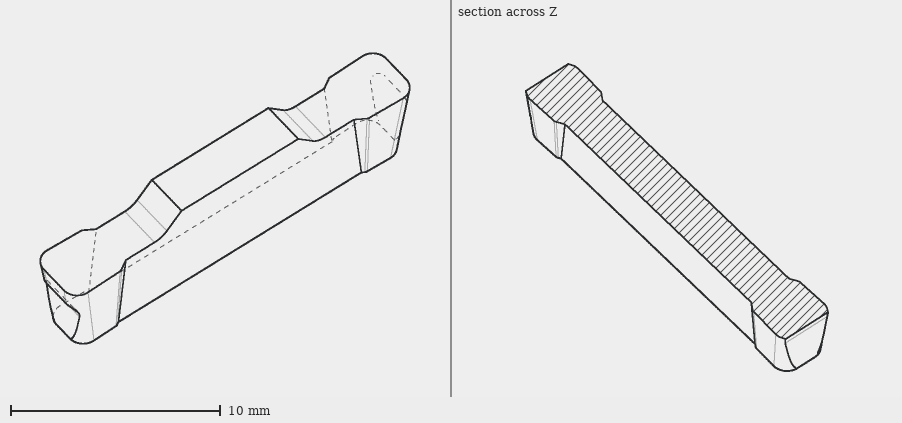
import cadquery as cq
import math

LENGTH = 20.6
HEAD_WIDTH = 3.18
HEIGHT = 5.76
SHOULDER_HEIGHT = 4.57

BLADE_WIDTH = 2.33
RIDGE_TOP_LENGTH = 7.02
RIDGE_SLOPE = 45.0
RIDGE_FOOT_RADIUS = 1.05

CORNER_RADIUS = 0.8
NECK_START = 2.865
NECK_ANGLE = 32.0
NECK_BASE_START = 2.805
NECK_RADIUS = 0.25
BACK_TAPER = 1.8
HEAD_ROOT_WIDTH = 1.6

FRONT_RELIEF = 7.0
SIDE_RELIEF = 3.07

RELIEF_SETBACK = 0.55
RELIEF_FLAT_DEPTH = 2.02
RELIEF_RADIUS = 1.05

TIP = LENGTH / 2

SELECTION_MARGIN = 0.1


def tangent(angle):
    return math.tan(math.radians(angle))


def make_blade():
    """Side outline extruded across the blade width."""
    ridge_half = RIDGE_TOP_LENGTH / 2
    foot = ridge_half + (HEIGHT - SHOULDER_HEIGHT) / tangent(RIDGE_SLOPE)
    end = TIP - NECK_START
    outline = [
        (-end, 0),
        (end, 0),
        (end, SHOULDER_HEIGHT),
        (foot, SHOULDER_HEIGHT),
        (ridge_half, HEIGHT),
        (-ridge_half, HEIGHT),
        (-foot, SHOULDER_HEIGHT),
        (-end, SHOULDER_HEIGHT),
    ]
    blade = cq.Workplane("YZ").polyline(outline).close().extrude(BLADE_WIDTH / 2, both=True)
    feet = cq.selectors.BoxSelector(
        (-BLADE_WIDTH, -foot - SELECTION_MARGIN, SHOULDER_HEIGHT - SELECTION_MARGIN),
        (BLADE_WIDTH, foot + SELECTION_MARGIN, SHOULDER_HEIGHT + SELECTION_MARGIN),
    )
    return blade.edges(feet).fillet(RIDGE_FOOT_RADIUS)


def head_outline(depth):
    """Sharp-cornered plan of the -Y head at a depth below its top face."""
    taper = tangent(BACK_TAPER)
    neck = tangent(NECK_ANGLE)
    side_inset = depth * tangent(SIDE_RELIEF)
    front = depth * tangent(FRONT_RELIEF)
    top_front_half = HEAD_WIDTH / 2 + CORNER_RADIUS * taper
    neck_shift = NECK_START - NECK_BASE_START
    neck_y = NECK_START - neck_shift * depth / SHOULDER_HEIGHT
    front_half = top_front_half - front * taper - side_inset
    neck_half = top_front_half - neck_y * taper - side_inset
    root_half = HEAD_ROOT_WIDTH / 2
    root = neck_y + (neck_half - root_half) / neck
    right = [(front_half, front), (neck_half, neck_y), (root_half, root)]
    left = [(-x, y) for x, y in reversed(right)]
    return [(x, y - TIP) for x, y in right + left]


def wall_edges(solid, near, far):
    """Upright edges of a head whose midpoints lie between two distances from its tip."""
    mid_height = SHOULDER_HEIGHT / 2
    box = cq.selectors.BoxSelector(
        (-HEAD_WIDTH, near - TIP, mid_height - SELECTION_MARGIN),
        (HEAD_WIDTH, far - TIP, mid_height + SELECTION_MARGIN),
    )
    return solid.edges(box)


def make_front_relief():
    """Cutter leaving an upright flat that curves forward to the cutting edge."""
    flat_y = RELIEF_SETBACK - TIP
    flat_z = SHOULDER_HEIGHT - RELIEF_FLAT_DEPTH
    sweep = math.radians(45)
    arc_middle = (
        flat_y - RELIEF_RADIUS * (1 - math.cos(sweep)),
        flat_z + RELIEF_RADIUS * math.sin(sweep),
    )
    arc_end = (flat_y - RELIEF_RADIUS, flat_z + RELIEF_RADIUS)
    return (
        cq.Workplane("YZ")
        .moveTo(flat_y, 0)
        .lineTo(flat_y, flat_z)
        .threePointArc(arc_middle, arc_end)
        .lineTo(arc_end[0], 0)
        .close()
        .extrude(HEAD_WIDTH, both=True)
    )


def make_head():
    """Cutting head at the -Y end, narrowing downward on every wall."""
    head = (
        cq.Workplane("XY")
        .polyline(head_outline(SHOULDER_HEIGHT))
        .close()
        .workplane(offset=SHOULDER_HEIGHT)
        .polyline(head_outline(0))
        .close()
        .loft(ruled=True)
    )
    neck_middle = (NECK_START + NECK_BASE_START) / 2
    head = wall_edges(head, 0, NECK_START / 2).fillet(CORNER_RADIUS)
    head = wall_edges(head, NECK_START / 2, neck_middle + NECK_RADIUS).fillet(NECK_RADIUS)
    return head.cut(make_front_relief())


front_head = make_head()
back_head = front_head.mirror("XZ")
result = make_blade().union(front_head).union(back_head)